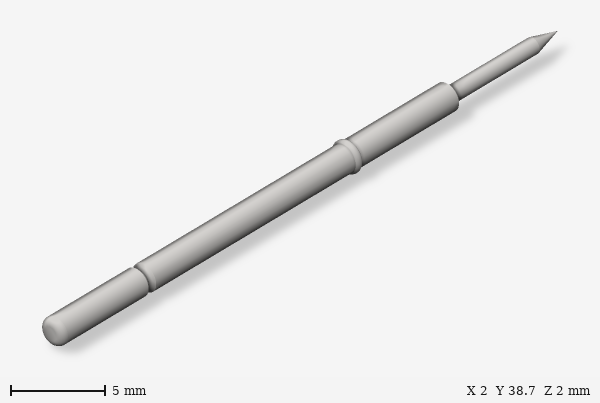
import cadquery as cq

total_length = 38.7
tip_length = 1.9
barrel_start = 8.32
collar_start = 15.83
collar_width = 0.5
groove_start = 31.55
groove_width = 0.58

needle_diameter = 1.0
barrel_diameter = 1.75
collar_diameter = 2.0
groove_diameter = 1.2

barrel_chamfer = 0.1
tail_rounding = 0.43

needle_radius = needle_diameter / 2
barrel_radius = barrel_diameter / 2
tip_y = total_length / 2


def along(distance):
    """Y position at a distance behind the needle tip."""
    return tip_y - distance


def rod(start, end, diameter):
    """Cylinder on the Y axis between two distances behind the tip."""
    return (
        cq.Workplane("XZ", origin=(0, along(start), 0))
        .circle(diameter / 2)
        .extrude(end - start)
    )


def make_needle():
    """Needle with a conical point, reaching back to the barrel."""
    return (
        cq.Workplane("XY")
        .moveTo(0, tip_y)
        .lineTo(needle_radius, along(tip_length))
        .lineTo(needle_radius, along(barrel_start))
        .lineTo(0, along(barrel_start))
        .close()
        .revolve(360, (0, 0, 0), (0, 1, 0))
    )


def make_barrel():
    """Barrel with a chamfered front edge and a rounded tail."""
    barrel = rod(barrel_start, total_length, barrel_diameter)
    barrel = barrel.faces(">Y").edges().chamfer(barrel_chamfer)
    return barrel.faces("<Y").edges().fillet(tail_rounding)


def make_collar():
    """Raised ring with an arched crown."""
    collar_end = collar_start + collar_width
    return (
        cq.Workplane("XY")
        .moveTo(0, along(collar_start))
        .lineTo(barrel_radius, along(collar_start))
        .threePointArc(
            (collar_diameter / 2, along(collar_start + collar_width / 2)),
            (barrel_radius, along(collar_end)),
        )
        .lineTo(0, along(collar_end))
        .close()
        .revolve(360, (0, 0, 0), (0, 1, 0))
    )


def make_groove_cutter():
    """Ring of V section that necks the barrel."""
    return (
        cq.Workplane("XY")
        .moveTo(barrel_radius, along(groove_start))
        .lineTo(groove_diameter / 2, along(groove_start + groove_width / 2))
        .lineTo(barrel_radius, along(groove_start + groove_width))
        .close()
        .revolve(360, (0, 0, 0), (0, 1, 0))
    )


result = make_needle().union(make_barrel()).union(make_collar()).cut(make_groove_cutter())